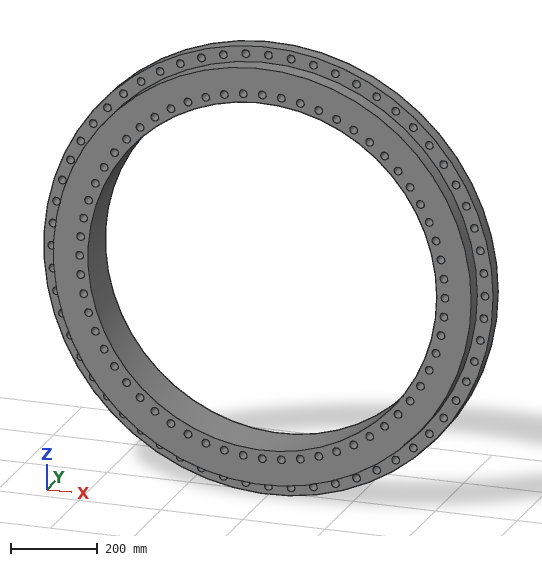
import cadquery as cq

FLANGE_DIAMETER = 1095.0
BODY_DIAMETER = 1018.0
BORE_DIAMETER = 850.0
BODY_WIDTH = 124.0
FLANGE_WIDTH = 37.0

HOLE_COUNT = 60
HOLE_DIAMETER = 19.0
OUTER_BOLT_CIRCLE = 1056.0
INNER_BOLT_CIRCLE = 890.0


def end_plane(width):
    """Sketch plane on the +Y end of a solid of this width centred on the XZ plane."""
    return cq.Workplane("XZ", origin=(0, width / 2, 0))


def centred_disc(diameter, width):
    """Solid disc about the Y axis, symmetric about the XZ plane."""
    return end_plane(width).circle(diameter / 2).extrude(width)


def bolt_pins(circle_diameter):
    """Evenly spaced pins as long as the body is wide, the first one on the X axis."""
    return (
        end_plane(BODY_WIDTH)
        .polarArray(circle_diameter / 2, 0, 360, HOLE_COUNT)
        .circle(HOLE_DIAMETER / 2)
        .extrude(BODY_WIDTH)
    )


ring = centred_disc(BODY_DIAMETER, BODY_WIDTH)
ring = ring.union(centred_disc(FLANGE_DIAMETER, FLANGE_WIDTH))
ring = ring.cut(centred_disc(BORE_DIAMETER, BODY_WIDTH))

for bolt_circle in (OUTER_BOLT_CIRCLE, INNER_BOLT_CIRCLE):
    ring = ring.cut(bolt_pins(bolt_circle))

result = ring